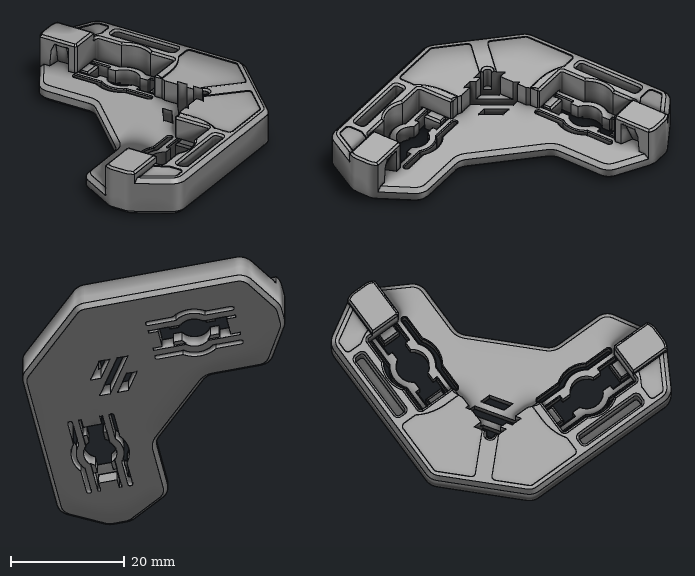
import cadquery as cq
import math


SIDE = 48.0
ARM_WIDTH = 20.0
AXIS_Y = -ARM_WIDTH / 2
TIP_FLAT = 4.05
TIP_SLOPE = math.radians(30)
OUTER_CUT = 13.05
CORNER_R = 3.0

BASE_TOP = 3.0
WALL_TOP = 7.1
CLIP_TOP = 8.6
OUTER_CHAMFER = 0.75
EDGE_CHAMFER = 0.4
FINE_CHAMFER = 0.2

POCKET_X = -31.95
POCKET_HALF = 7.95
POCKET_LEFT = POCKET_X - POCKET_HALF
POCKET_RIGHT = POCKET_X + POCKET_HALF
POCKET_CORNER_R = 0.5
BUMP_R = 5.15

SLOT_OUT = 4.2
SLOT_IN = 3.3
SLOT_IN_R = 4.2
SLOT_END_R = 0.4
WINDOW_HALF = 2.15
WINDOW_HALF_LENGTH = 7.85
TAB_HALF_LENGTH = 4.15
TAB_GAP_HALF = 1.45
TAB_BOTTOM = 0.4
CENTER_R = 2.95
STOP_HALF = 1.7
STOP_LENGTH = 1.8
STOP_SIDE_CHAMFER = 0.25

CLIP_WIDTH = 6.0
CLIP_FRONT = AXIS_Y - CLIP_WIDTH / 2
NOTCH_X = -45.4
NOTCH_RIGHT = -41.55
NOTCH_SHOULDER = 6.15
NOTCH_TOP = 7.55
NOTCH_DEPTH = 2.3
NOTCH_TOP_DEPTH = 0.3
NOTCH_SHOULDER_LEFT = 0.3
NOTCH_TOP_LEFT = 0.95
NOTCH_BACK_LEFT = 0.3
NOTCH_TOP_BACK_LEFT = 1.1
NOTCH_BACK_RIGHT = 2.95
NOTCH_TOP_BACK_RIGHT = 3.2

CORNER = -13.3
CORNER_HOLE_D = 1.5
LEDGE_X = -22.25
LEDGE_FRONT = -12.95
LEDGE_FOOT_X = -21.5
LEDGE_CORNER_CHAMFER = 0.3

PAD_INSET = 1.5
PAD_DEPTH = 0.2
PAD_KEEP_R = 9.7
PAD_CORNER_R = 0.7
PAD_LEFT = -23.85
END_PAD_RIGHT = -39.95
RIB_HALF = 1.5
GROOVE_HALF_LENGTH = 6.5
GROOVE_TOP = -1.9
GROOVE_WIDTH = 1.9
GROOVE_R = 0.6

SLANT_CENTER = -16.05
SLANT_PITCH = 3.25
SLANT_WIDTH = 1.9
SLANT_RUN = 0.66
SLANT_HALF_HEIGHT = 3.65

BEYOND = 0.5
SLACK = 0.05


def prism(points, bottom, top):
    """Upright prism over a closed outline."""
    return cq.Workplane("XY").workplane(offset=bottom).polyline(points).close().extrude(top - bottom)


def block(x0, x1, y0, y1, bottom, top):
    """Box between the given limits."""
    return prism([(x0, y0), (x1, y0), (x1, y1), (x0, y1)], bottom, top)


def cylinder(x, y, radius, bottom, top):
    """Upright cylinder centred on (x, y)."""
    return cq.Workplane("XY", origin=(x, y, bottom)).circle(radius).extrude(top - bottom)


def edges_within(x0, x1, y0, y1, bottom, top):
    """Selects edges centred inside a box, allowing a little slack."""
    return cq.selectors.BoxSelector(
        (x0 - SLACK, y0 - SLACK, bottom - SLACK), (x1 + SLACK, y1 + SLACK, top + SLACK))


def axis_block(half_length, half_width, bottom, top):
    """Box centred on the pocket."""
    return block(
        POCKET_X - half_length, POCKET_X + half_length,
        AXIS_Y - half_width, AXIS_Y + half_width, bottom, top,
    )


def bracket_blank(height):
    """Whole outline of both arms, rounded in plan and chamfered below."""
    tip_near = AXIS_Y + TIP_FLAT / 2
    tip_far = AXIS_Y - TIP_FLAT / 2
    shoulder = -SIDE - tip_near * math.tan(TIP_SLOPE)
    arm = [
        (-OUTER_CUT, 0), (shoulder, 0), (-SIDE, tip_near),
        (-SIDE, tip_far), (shoulder, -ARM_WIDTH), (POCKET_X, -ARM_WIDTH),
    ]
    other_arm = [(y, x) for x, y in reversed(arm)]
    blank = prism(arm + other_arm, 0, height)
    blank = blank.edges("|Z").fillet(CORNER_R)
    return blank.faces("<Z").chamfer(OUTER_CHAMFER)


def spring_slots():
    """Pair of narrow slots that bow around the centre hole."""
    outside = axis_block(POCKET_HALF, SLOT_OUT, 0, BASE_TOP)
    outside = outside.union(cylinder(POCKET_X, AXIS_Y, BUMP_R, 0, BASE_TOP))
    inside = axis_block(POCKET_HALF, SLOT_IN, 0, BASE_TOP)
    inside = inside.union(cylinder(POCKET_X, AXIS_Y, SLOT_IN_R, 0, BASE_TOP))
    slots = outside.cut(inside)
    return slots.edges("|Z").edges("<X or >X").fillet(SLOT_END_R)


def end_windows():
    """Openings beyond the tabs, at both ends of the pocket."""
    return axis_block(WINDOW_HALF_LENGTH, WINDOW_HALF, 0, BASE_TOP).cut(
        axis_block(TAB_HALF_LENGTH, WINDOW_HALF, 0, BASE_TOP))


def center_opening():
    """Round hole with a straight gap between the four tabs."""
    gap = axis_block(TAB_HALF_LENGTH, TAB_GAP_HALF, 0, BASE_TOP)
    under_tabs = axis_block(TAB_HALF_LENGTH, WINDOW_HALF, 0, TAB_BOTTOM)
    return gap.union(under_tabs).union(cylinder(POCKET_X, AXIS_Y, CENTER_R, 0, BASE_TOP))


def stops():
    """Chamfered stop at each end of the opening."""
    both = axis_block(POCKET_HALF, STOP_HALF, 0, BASE_TOP).cut(
        axis_block(POCKET_HALF - STOP_LENGTH, STOP_HALF, 0, BASE_TOP))
    both = both.faces(">Z").edges("|X").chamfer(STOP_SIDE_CHAMFER)
    inner_half = POCKET_HALF - STOP_LENGTH
    inner_ends = edges_within(
        POCKET_X - inner_half, POCKET_X + inner_half,
        AXIS_Y - STOP_HALF, AXIS_Y + STOP_HALF, BASE_TOP, BASE_TOP)
    return both.edges("|Y").edges(inner_ends).chamfer(EDGE_CHAMFER)


def pocket_edges(half_width):
    """Selects edges at the top of the base inside the pocket of the first arm."""
    return edges_within(
        POCKET_LEFT, POCKET_RIGHT, AXIS_Y - half_width, AXIS_Y + half_width, BASE_TOP, BASE_TOP)


def base_plate():
    """Base with the openings of the first arm."""
    plate = bracket_blank(BASE_TOP).faces(">Z").chamfer(OUTER_CHAMFER)
    plate = plate.cut(spring_slots())
    plate = plate.edges(pocket_edges(BUMP_R)).chamfer(FINE_CHAMFER)
    plate = plate.cut(end_windows())
    plate = plate.edges("|X").edges(pocket_edges(WINDOW_HALF)).chamfer(FINE_CHAMFER)
    return plate.cut(center_opening()).union(stops())


def pocket_shape(grow):
    """Pocket with its round bump, enlarged all round by the given amount."""
    room = block(
        POCKET_LEFT - grow, POCKET_RIGHT + grow,
        CLIP_FRONT - BUMP_R, AXIS_Y + SLOT_OUT + grow, 0, WALL_TOP,
    )
    room = room.edges("|Z and >Y").fillet(POCKET_CORNER_R + grow)
    return room.union(cylinder(POCKET_X, AXIS_Y, BUMP_R + grow, 0, WALL_TOP))


def flare(shape, depth):
    """Chamfer cutter that narrows downward from the top face of a shape."""
    return shape.faces(">Z").wires().toPending().extrude(-depth, taper=45, combine=False)


def long_groove():
    """Closed groove in the top of the wall, down to the base."""
    def groove_shape(grow):
        return block(
            POCKET_X - GROOVE_HALF_LENGTH - grow, POCKET_X + GROOVE_HALF_LENGTH + grow,
            GROOVE_TOP - GROOVE_WIDTH - grow, GROOVE_TOP + grow, BASE_TOP, WALL_TOP,
        ).edges("|Z").fillet(GROOVE_R + grow)
    return groove_shape(0).union(flare(groove_shape(EDGE_CHAMFER), EDGE_CHAMFER))


def corner_pad():
    """Shallow pad between the pocket and the diagonal rib, open at the inner corner."""
    bottom = WALL_TOP - PAD_DEPTH
    diagonal = OUTER_CUT + PAD_INSET * math.sqrt(2)
    rib = RIB_HALF * math.sqrt(2)
    outer_rib_x = -(diagonal + rib) / 2
    pad = prism(
        [
            (PAD_LEFT, -PAD_INSET), (PAD_INSET - diagonal, -PAD_INSET),
            (outer_rib_x, outer_rib_x + rib), (CORNER - rib, CORNER),
            (PAD_LEFT, CORNER),
        ], bottom, WALL_TOP)
    pad = pad.edges("|Z").edges(">Y or >X").fillet(PAD_CORNER_R)
    ledge = block(PAD_LEFT, LEDGE_X, CORNER, AXIS_Y, bottom, WALL_TOP)
    return pad.cut(cylinder(POCKET_X, AXIS_Y, PAD_KEEP_R, bottom, WALL_TOP)).cut(ledge)


def end_pad():
    """Shallow pad between the tip of the arm and the pocket."""
    bottom = WALL_TOP - PAD_DEPTH
    slope = math.tan(TIP_SLOPE)
    tip_near = AXIS_Y + TIP_FLAT / 2
    slant_at_tip = -SIDE + PAD_INSET / math.cos(TIP_SLOPE)
    slant_top = slant_at_tip - (tip_near + PAD_INSET) * slope
    slant_foot = slant_at_tip - (tip_near - AXIS_Y) * slope
    pad = prism(
        [
            (slant_top, -PAD_INSET), (END_PAD_RIGHT, -PAD_INSET),
            (END_PAD_RIGHT, AXIS_Y), (slant_foot, AXIS_Y),
        ], bottom, WALL_TOP)
    pad = pad.edges("|Z and >Y").fillet(PAD_CORNER_R)
    return pad.cut(cylinder(POCKET_X, AXIS_Y, PAD_KEEP_R, bottom, WALL_TOP))


def wall():
    """Raised rim along the outer sides, with pocket, pads and groove."""
    region = prism(
        [
            (BEYOND, BEYOND), (-SIDE - BEYOND, BEYOND), (-SIDE - BEYOND, AXIS_Y), (POCKET_X, AXIS_Y),
            (POCKET_X, LEDGE_FRONT), (LEDGE_X, LEDGE_FRONT), (LEDGE_FOOT_X, CORNER), (CORNER, CORNER),
        ], 0, WALL_TOP)
    region = region.cut(pocket_shape(0))
    ledge_corner = edges_within(POCKET_RIGHT, POCKET_RIGHT, LEDGE_FRONT, LEDGE_FRONT, 0, WALL_TOP)
    region = region.edges("|Z").edges(ledge_corner).chamfer(LEDGE_CORNER_CHAMFER)
    region = region.cut(flare(pocket_shape(EDGE_CHAMFER), EDGE_CHAMFER))
    rim = bracket_blank(WALL_TOP).faces(">Z").chamfer(OUTER_CHAMFER).intersect(region)
    ledge_top = edges_within(POCKET_RIGHT, LEDGE_X, LEDGE_FRONT, LEDGE_FRONT, WALL_TOP, WALL_TOP)
    rim = rim.edges("|X").edges(ledge_top).chamfer(EDGE_CHAMFER, FINE_CHAMFER)
    return rim.cut(corner_pad()).cut(end_pad()).cut(long_groove())


def clip():
    """Tall block over the tip of the arm."""
    body = bracket_blank(CLIP_TOP).intersect(
        block(-SIDE, POCKET_LEFT, CLIP_FRONT, CLIP_FRONT + CLIP_WIDTH, 0, CLIP_TOP))
    body = body.edges("|Z and >X and <Y").chamfer(EDGE_CHAMFER)
    return body.faces(">Z").chamfer(EDGE_CHAMFER).cut(clip_notch())


def clip_notch():
    """Cable notch in the inner side of the clip; its back leans forward to the top."""
    width = NOTCH_RIGHT - NOTCH_X

    def section(height, left):
        rise = (height - BASE_TOP) / (NOTCH_TOP - BASE_TOP)
        depth = NOTCH_DEPTH + rise * (NOTCH_TOP_DEPTH - NOTCH_DEPTH)
        back_left = NOTCH_BACK_LEFT + rise * (NOTCH_TOP_BACK_LEFT - NOTCH_BACK_LEFT)
        back_right = NOTCH_BACK_RIGHT + rise * (NOTCH_TOP_BACK_RIGHT - NOTCH_BACK_RIGHT)
        points = [(left, 0), (width, 0), (back_right, depth), (back_left, depth)]
        return cq.Wire.makePolygon(
            [cq.Vector(NOTCH_X + x, CLIP_FRONT + y, height) for x, y in points], close=True)

    foot = section(BASE_TOP, 0)
    shoulder = section(NOTCH_SHOULDER, NOTCH_SHOULDER_LEFT)
    top = section(NOTCH_TOP, NOTCH_TOP_LEFT)
    lower = cq.Workplane(cq.Solid.makeLoft([foot, shoulder], True))
    return lower.union(cq.Workplane(cq.Solid.makeLoft([shoulder, top], True)))


def corner_hole():
    """Round relief in the inner corner of the wall, chamfered at the top."""
    radius = CORNER_HOLE_D / 2
    hole = cylinder(CORNER, CORNER, radius, BASE_TOP, WALL_TOP)
    rim = cylinder(CORNER, CORNER, radius + EDGE_CHAMFER, BASE_TOP, WALL_TOP)
    return hole.union(flare(rim, EDGE_CHAMFER))


def slanted_slot(x, y_bottom, y_top):
    """Through slot whose centre line crosses the middle of the group at x."""
    x_bottom = x - (y_bottom - SLANT_CENTER) * SLANT_RUN
    x_top = x - (y_top - SLANT_CENTER) * SLANT_RUN
    half = SLANT_WIDTH / 2
    return prism(
        [
            (x_bottom - half, y_bottom), (x_bottom + half, y_bottom),
            (x_top + half, y_top), (x_top - half, y_top),
        ], 0, WALL_TOP)


far = -SIDE - BEYOND
arm_side = prism([(BEYOND, BEYOND), (far, BEYOND), (far, far)], 0, CLIP_TOP)
arm = base_plate().union(wall()).union(clip()).intersect(arm_side)
result = arm.union(arm.mirror((1, -1, 0))).cut(corner_hole())

slot_low = SLANT_CENTER - SLANT_HALF_HEIGHT
slot_high = SLANT_CENTER + SLANT_HALF_HEIGHT
result = result.cut(slanted_slot(SLANT_CENTER, slot_low, slot_high))
result = result.cut(slanted_slot(SLANT_CENTER - SLANT_PITCH, slot_low, SLANT_CENTER))
result = result.cut(slanted_slot(SLANT_CENTER + SLANT_PITCH, SLANT_CENTER, slot_high))